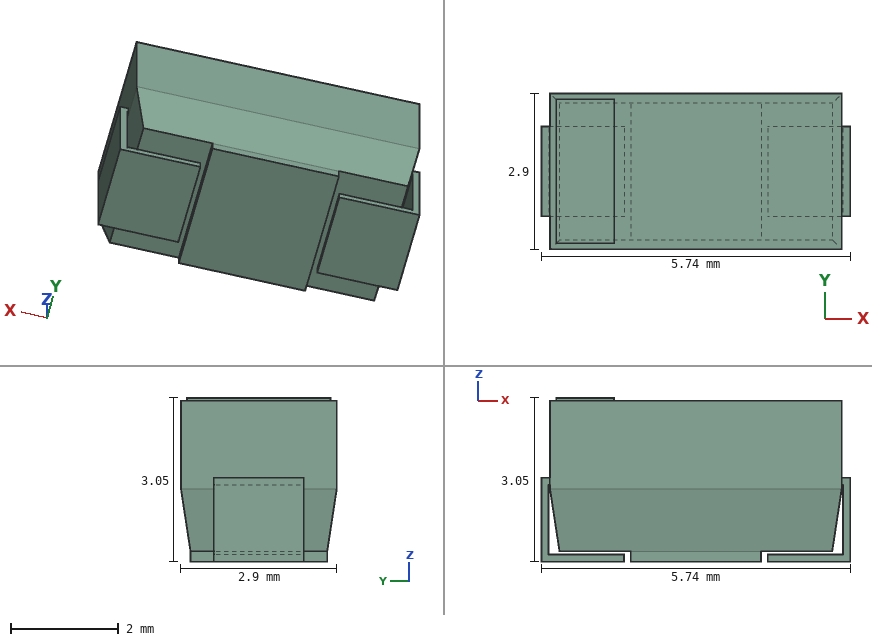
import cadquery as cq

overall_length = 5.74
overall_height = 3.05

mark_thickness = 0.05
mark_length = 1.08
mark_margin = 0.115

housing_length = 5.425
housing_width = 2.9
housing_top = overall_height - mark_thickness
parting_height = 1.36
underside_height = 0.195
taper_inset = 0.18
pad_length = 2.42
underside_length = housing_length - 2 * taper_inset
underside_width = housing_width - 2 * taper_inset

terminal_width = 1.67
terminal_height = 1.565
terminal_thickness = 0.14
foot_length = 1.54


def make_housing():
    upper = (
        cq.Workplane("XY", origin=(0, 0, parting_height))
        .rect(housing_length, housing_width)
        .extrude(housing_top - parting_height)
    )
    lower = (
        cq.Workplane("XY", origin=(0, 0, underside_height))
        .rect(underside_length, underside_width)
        .workplane(offset=parting_height - underside_height)
        .rect(housing_length, housing_width)
        .loft(ruled=True)
    )
    pad = cq.Workplane("XY").rect(pad_length, underside_width).extrude(underside_height)
    return upper.union(lower).union(pad)


def make_mark():
    mark_width = housing_width - 2 * mark_margin
    mark_center_x = -housing_length / 2 + mark_margin + mark_length / 2
    return (
        cq.Workplane("XY", origin=(mark_center_x, 0, housing_top))
        .rect(mark_length, mark_width)
        .extrude(mark_thickness)
    )


def make_terminal(side):
    """Foot, upright and a short top lip that meets the housing; side is -1 or +1 along X."""
    outer_x = overall_length / 2
    inner_x = outer_x - terminal_thickness
    lip_x = housing_length / 2
    foot_end_x = outer_x - foot_length
    lip_bottom = terminal_height - terminal_thickness
    profile = [
        (foot_end_x, 0),
        (outer_x, 0),
        (outer_x, terminal_height),
        (lip_x, terminal_height),
        (lip_x, lip_bottom),
        (inner_x, lip_bottom),
        (inner_x, terminal_thickness),
        (foot_end_x, terminal_thickness),
    ]
    return (
        cq.Workplane("XZ")
        .polyline([(side * x, z) for x, z in profile])
        .close()
        .extrude(terminal_width / 2, both=True)
    )


housing = make_housing()
mark = make_mark()
terminals = [make_terminal(side) for side in (-1, 1)]

result = cq.Compound.makeCompound(
    [housing.val(), mark.val(), *[terminal.val() for terminal in terminals]]
)